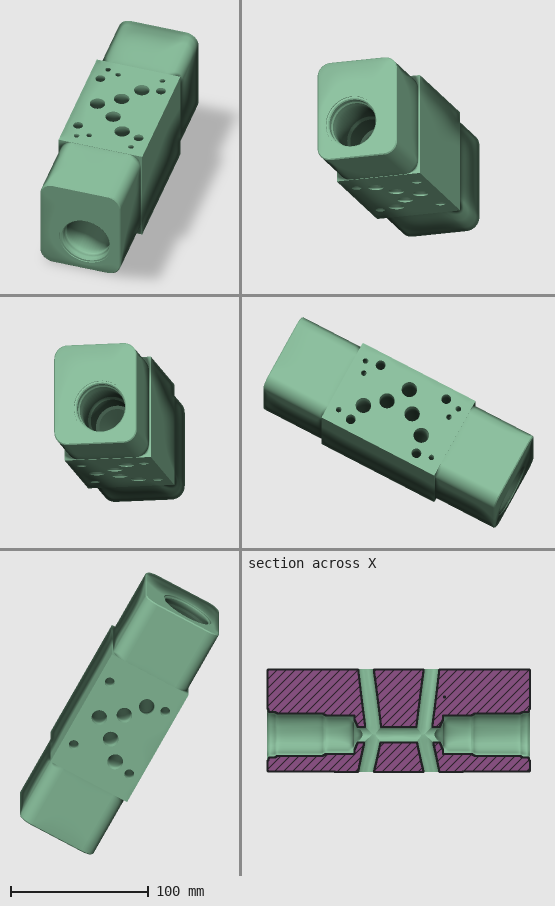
import cadquery as cq
import math

block_width = 63.5
block_length = 92.6
height = 74.63
half_height = height / 2

overall_length = 190.5
half_length = overall_length / 2
cap_width = 60.8
cap_step_z = 0.25
cap_height = height - 2 * cap_step_z
cap_corner_radius = 9.8
cap_edge_chamfer = 0.8

bore_x = 4.0
bore_z = -10.2
spotface_radius = 19.8
spotface_depth = 0.8
mouth_radius = 18.5
counterbore_radius = 17.7
counterbore_depth = 5.6
guide_radius = 16.8
guide_depth = 40.0
seat_radius = 15.3
seat_depth = 63.0
drill_radius = 12.8
step_half_angle = 30.0
drill_tip_half_angle = 59.0

link_x = 12.1
link_diameter = 11.0

bolt_diameter = 7.1
bolt_spacing_x = 46.0
bolt_spacing_y = 54.0

port_diameter = 11.2
bolt_line_x = -bolt_spacing_x / 2
pressure_port_x = bolt_line_x + 6.3
work_port_x = bolt_line_x + 21.4
work_port_y = 20.6 / 2
work_port_shift_x = -3.3
tank_port_x = bolt_line_x + 32.5
tank_port_y = 47.6 / 2
tank_port_joint_y = 17.8

pilot_diameter = 4.0
pilot_slant = 15.0
pilot_depth = 20.0
corner_pilot_x = 20.65
corner_pilot_y = 38.1
inner_pilot_x = -12.0
inner_pilot_y = 35.0

drill_overrun = 5.0


def end_caps():
    """Both caps as one rounded bar over the full length."""
    bar = cq.Workplane("XY").box(cap_width, overall_length, cap_height)
    return bar.edges("|Y").fillet(cap_corner_radius).faces("<Y or >Y").chamfer(cap_edge_chamfer)


def cone_length(large_radius, small_radius, half_angle):
    """Axial length of a cone between two radii."""
    return (large_radius - small_radius) / math.tan(math.radians(half_angle))


def cartridge_bore():
    """Stepped bore entering from the -Y end, revolved about its own axis."""
    mouth_chamfer_end = spotface_depth + mouth_radius - counterbore_radius
    guide_start = counterbore_depth + cone_length(counterbore_radius, guide_radius, step_half_angle)
    seat_start = guide_depth + cone_length(guide_radius, seat_radius, step_half_angle)
    tip_depth = seat_depth + cone_length(drill_radius, 0, drill_tip_half_angle)
    profile = [
        (0, 0),
        (spotface_radius, 0),
        (spotface_radius, spotface_depth),
        (mouth_radius, spotface_depth),
        (counterbore_radius, mouth_chamfer_end),
        (counterbore_radius, counterbore_depth),
        (guide_radius, guide_start),
        (guide_radius, guide_depth),
        (seat_radius, seat_start),
        (seat_radius, seat_depth),
        (drill_radius, seat_depth),
        (0, tip_depth),
    ]
    bore = cq.Workplane("XY").polyline(profile).close().revolve(360, (0, 0, 0), (0, 1, 0))
    return bore.translate((bore_x, -half_length, bore_z))


def drill(start, end, diameter):
    """Cylinder from a mouth on a face to an end point, overrunning the mouth."""
    start_point = cq.Vector(*start)
    end_point = cq.Vector(*end)
    direction = (end_point - start_point).normalized()
    length = (end_point - start_point).Length + drill_overrun
    outside_point = start_point - direction * drill_overrun
    return cq.Workplane(cq.Solid.makeCylinder(diameter / 2, length, outside_point, direction))


def bent_port(mouth_x, mouth_y, joint_x, joint_y):
    """Two oblique drills, from the top and bottom faces, meeting at bore level."""
    joint = (joint_x, joint_y, bore_z)
    upper = drill((mouth_x, mouth_y, half_height), joint, port_diameter)
    lower = drill((mouth_x, mouth_y, -half_height), joint, port_diameter)
    elbow = cq.Workplane("XY").sphere(port_diameter / 2).translate(joint)
    return upper.union(lower).union(elbow)


def pilot_hole(x, y, lean_x, lean_y):
    """Blind hole in the top face, leaning the given way as it goes down."""
    shift = pilot_depth * math.tan(math.radians(pilot_slant))
    end = (x + lean_x * shift, y + lean_y * shift, half_height - pilot_depth)
    return drill((x, y, half_height), end, pilot_diameter)


def vertical_hole(x, y, diameter):
    """Straight hole through the full height."""
    return cq.Workplane("XY").cylinder(height, diameter / 2).translate((x, y, 0))


body = end_caps().union(cq.Workplane("XY").box(block_width, block_length, height))

front_bore = cartridge_bore()
body = body.cut(front_bore).cut(front_bore.mirror("XZ"))
link_length = overall_length - 2 * seat_depth
link = cq.Workplane("XZ").circle(link_diameter / 2).extrude(link_length / 2, both=True)
body = body.cut(link.translate((link_x, 0, bore_z)))

body = body.cut(vertical_hole(pressure_port_x, 0, port_diameter))
for side in (-1, 1):
    for bolt_x in (-bolt_spacing_x / 2, bolt_spacing_x / 2):
        body = body.cut(vertical_hole(bolt_x, side * bolt_spacing_y / 2, bolt_diameter))

    work_y = side * work_port_y
    body = body.cut(bent_port(work_port_x, work_y, work_port_x + work_port_shift_x, work_y))
    body = body.cut(bent_port(tank_port_x, side * tank_port_y, link_x, side * tank_port_joint_y))

    body = body.cut(pilot_hole(-corner_pilot_x, side * corner_pilot_y, 0, side))
    body = body.cut(pilot_hole(corner_pilot_x, side * corner_pilot_y, 1, 0))
    body = body.cut(pilot_hole(inner_pilot_x, side * inner_pilot_y, -1, 0))

result = body